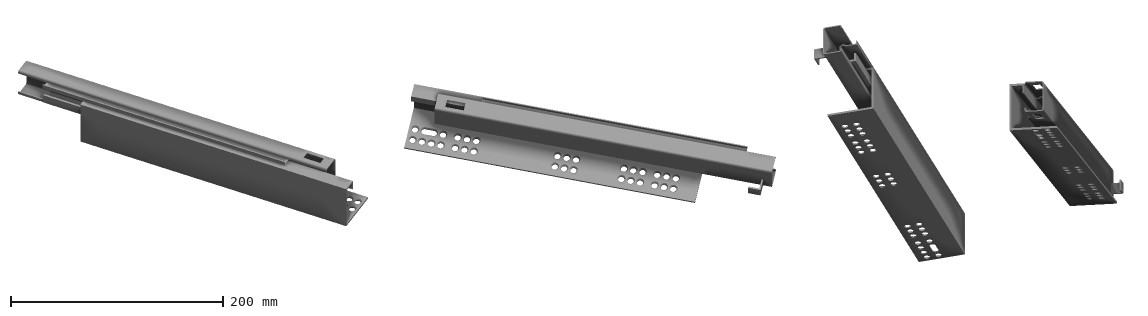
import cadquery as cq
import math


thick_sheet = 2.0
medium_sheet = 1.5
thin_sheet = 1.0

total_length = 350.0
fixed_start = 70.0
fixed_length = total_length - fixed_start
base_width = 45.5
fixed_height = 45.0
top_flange_width = 13.5
hook_bottom = 35.7

first_group_x = 93.0
last_group_x = 317.0
last_hole_x = 344.0
last_group_step = 7
group_steps = (0, 1, 3, 6)
holes_per_group = 3
holes_in_last_group = 4
outer_row_y = 35.7
inner_row_y = 24.0
hole_diameter = 6.0
countersink_diameter = 8.0
countersink_depth = (countersink_diameter - hole_diameter) / 2
group_spacing = (last_group_x - first_group_x) / last_group_step
hole_pitch = (last_hole_x - last_group_x) / (holes_in_last_group - 1)

drawer_length = 324.8
drawer_back_y = 27.3
drawer_width = 18.2
drawer_top = 53.5
drawer_height = 29.5
upper_lip_height = 3.0
lower_lip_height = 4.2
bend_radius = 2.0
drawer_front_y = drawer_back_y - drawer_width
drawer_bottom = drawer_top - drawer_height

window_start = 297.5
window_length = 18.0
window_front_y = 14.7
window_width = 7.7

tab_start = 8.5
tab_length = 12.0
tab_back_y = 39.0
tab_bottom = 26.2
tab_height = 10.5

middle_start = 28.7
middle_length = 254.8
web_y = 21.0
web_bottom = 29.5
web_top = 48.3
bead_y = 16.8
bead_half_width = 3.0
bead_height = 2.0
upper_arm_y = 3.0
upper_arm_top = 51.5
lower_arm_y = 4.2
lower_arm_top = 38.0


def box(start, size):
    """Box from its lowest corner and its size."""
    return cq.Workplane("XY").box(*size, centered=False).translate(start)


def sheet_outline(path, thicknesses):
    """Closed outline of a bent sheet whose inner face lies to the right of an outer (Y, Z) path.

    Each straight stretch has its own thickness, and neighbouring inner faces meet in a mitre.
    """
    inner_lines = []
    for (y0, z0), (y1, z1), thickness in zip(path, path[1:], thicknesses):
        length = math.hypot(y1 - y0, z1 - z0)
        along = ((y1 - y0) / length, (z1 - z0) / length)
        inward = (along[1] * thickness, -along[0] * thickness)
        inner_lines.append(((y0 + inward[0], z0 + inward[1]), along, length))

    inner_path = [inner_lines[0][0]]
    for ((ya, za), a, _), ((yb, zb), b, _) in zip(inner_lines, inner_lines[1:]):
        travel = ((yb - ya) * b[1] - (zb - za) * b[0]) / (a[0] * b[1] - a[1] * b[0])
        inner_path.append((ya + travel * a[0], za + travel * a[1]))
    (y_last, z_last), direction, length = inner_lines[-1]
    inner_path.append((y_last + direction[0] * length, z_last + direction[1] * length))
    return path + inner_path[::-1]


def extruded_sheet(path, thicknesses, start, length):
    """Bent sheet extruded along X."""
    outline = sheet_outline(path, thicknesses)
    return cq.Workplane("YZ", origin=(start, 0, 0)).polyline(outline).close().extrude(length)


def countersunk_cutter(x, y):
    """Through hole with a 45 degree countersink in the top of the base flange."""
    cone_start = thick_sheet - countersink_depth
    shaft = cq.Workplane("XY").circle(hole_diameter / 2).extrude(thick_sheet)
    cone = cq.Workplane(
        cq.Solid.makeCone(
            hole_diameter / 2, countersink_diameter / 2, countersink_depth, cq.Vector(0, 0, cone_start)
        )
    )
    return shaft.union(cone).translate((x, y, 0))


def countersunk_slot_cutter(x_first, x_last, y):
    """Through slot with the same cross-section as the countersunk holes."""
    section = [
        (-hole_diameter / 2, 0),
        (hole_diameter / 2, 0),
        (hole_diameter / 2, thick_sheet - countersink_depth),
        (countersink_diameter / 2, thick_sheet),
        (-countersink_diameter / 2, thick_sheet),
        (-hole_diameter / 2, thick_sheet - countersink_depth),
    ]
    straight = (
        cq.Workplane("YZ", origin=(x_first, y, 0)).polyline(section).close().extrude(x_last - x_first)
    )
    return straight.union(countersunk_cutter(x_first, y)).union(countersunk_cutter(x_last, y))


def make_fixed_rail():
    """Bent sheet rail with rows of countersunk mounting holes."""
    path = [
        (base_width, 0),
        (0, 0),
        (0, fixed_height),
        (top_flange_width, fixed_height),
        (top_flange_width, hook_bottom),
    ]
    thicknesses = [thick_sheet, thick_sheet, thick_sheet, thin_sheet]
    rail = extruded_sheet(path, thicknesses, fixed_start, fixed_length)

    for step in group_steps:
        for index in range(holes_per_group):
            x = first_group_x + step * group_spacing + index * hole_pitch
            for y in (outer_row_y, inner_row_y):
                rail = rail.cut(countersunk_cutter(x, y))

    last_group = [last_group_x + index * hole_pitch for index in range(holes_in_last_group)]
    for x in last_group:
        rail = rail.cut(countersunk_cutter(x, outer_row_y))
    for x in (last_group[0], last_group[-1]):
        rail = rail.cut(countersunk_cutter(x, inner_row_y))
    return rail.cut(countersunk_slot_cutter(last_group[1], last_group[2], inner_row_y))


def make_middle_rail():
    """Sheet rail that runs between the other two, with a V bead above and below its web."""
    bead_back = bead_y + bead_half_width
    bead_front = bead_y - bead_half_width
    upper_arm_inner_y = upper_arm_y + thin_sheet
    path = [
        (upper_arm_inner_y, upper_arm_top),
        (upper_arm_inner_y, web_top),
        (bead_front, web_top),
        (bead_y, web_top + bead_height),
        (bead_back, web_top),
        (web_y, web_top),
        (web_y, web_bottom),
        (bead_back, web_bottom),
        (bead_y, web_bottom - bead_height),
        (bead_front, web_bottom),
        (lower_arm_y, web_bottom),
        (lower_arm_y, lower_arm_top),
    ]
    upper_thicknesses = [thin_sheet, thin_sheet, medium_sheet, medium_sheet, thin_sheet]
    web_and_lower_thicknesses = [thick_sheet] * (len(path) - 1 - len(upper_thicknesses))
    thicknesses = upper_thicknesses + web_and_lower_thicknesses
    return extruded_sheet(path, thicknesses, middle_start, middle_length)


def make_drawer_rail():
    """C channel with rounded bends, a window and a mounting tab."""
    outside = box(
        (0, drawer_front_y, drawer_bottom), (drawer_length, drawer_width, drawer_height)
    ).edges("|X").fillet(bend_radius)
    inside = box(
        (0, drawer_front_y + thin_sheet, drawer_bottom + thin_sheet),
        (drawer_length, drawer_width - 2 * thin_sheet, drawer_height - 2 * thin_sheet),
    ).edges("|X").fillet(bend_radius - thin_sheet)
    opening = box(
        (0, drawer_front_y, drawer_bottom + lower_lip_height),
        (drawer_length, bend_radius, drawer_height - lower_lip_height - upper_lip_height),
    )
    window = box(
        (window_start, window_front_y, drawer_bottom), (window_length, window_width, drawer_height)
    )
    tab_leg = box(
        (tab_start, drawer_back_y - thin_sheet, tab_bottom),
        (medium_sheet, tab_back_y - drawer_back_y + thin_sheet, tab_height),
    )
    tab_arm = box(
        (tab_start, tab_back_y - medium_sheet, tab_bottom), (tab_length, medium_sheet, tab_height)
    )
    channel = outside.cut(inside).cut(opening).cut(window)
    return channel.union(tab_leg).union(tab_arm)


fixed_rail = make_fixed_rail()
middle_rail = make_middle_rail()
drawer_rail = make_drawer_rail()

result = cq.Compound.makeCompound([fixed_rail.val(), middle_rail.val(), drawer_rail.val()])